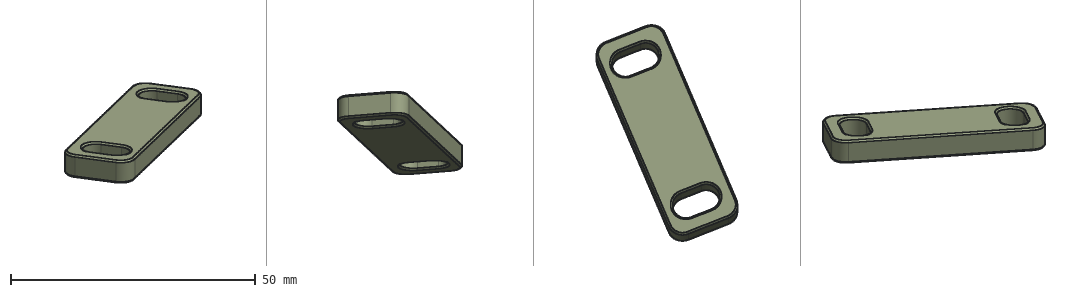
import cadquery as cq

length = 44.45
width = 15.0
thickness = 5.0
corner_radius = 3.02
edge_chamfer = 0.4

slot_length = 10.0
slot_width = 5.5
slot_spacing = 32.7
slot_offset = 0.25


def make_plate():
    """Rounded plate, chamfered around its top and bottom faces."""
    plate = cq.Workplane("XY").box(width, length, thickness)
    plate = plate.edges("|Z").fillet(corner_radius)
    return plate.faces("<Z or >Z").edges().chamfer(edge_chamfer)


def make_slot_cutter(center_y):
    """Through-slot volume that flares at both faces to chamfer the slot rims."""
    through = (
        cq.Workplane("XY", origin=(slot_offset, center_y, -thickness / 2))
        .slot2D(slot_length, slot_width)
        .extrude(thickness)
    )
    rim_length = slot_length + 2 * edge_chamfer
    rim_width = slot_width + 2 * edge_chamfer
    upper_flare = (
        cq.Workplane("XY", origin=(slot_offset, center_y, thickness / 2))
        .slot2D(rim_length, rim_width)
        .extrude(-edge_chamfer, taper=45)
    )
    lower_flare = upper_flare.mirror("XY")
    return through.union(upper_flare).union(lower_flare)


result = make_plate()
for side in (-1, 1):
    result = result.cut(make_slot_cutter(side * slot_spacing / 2))